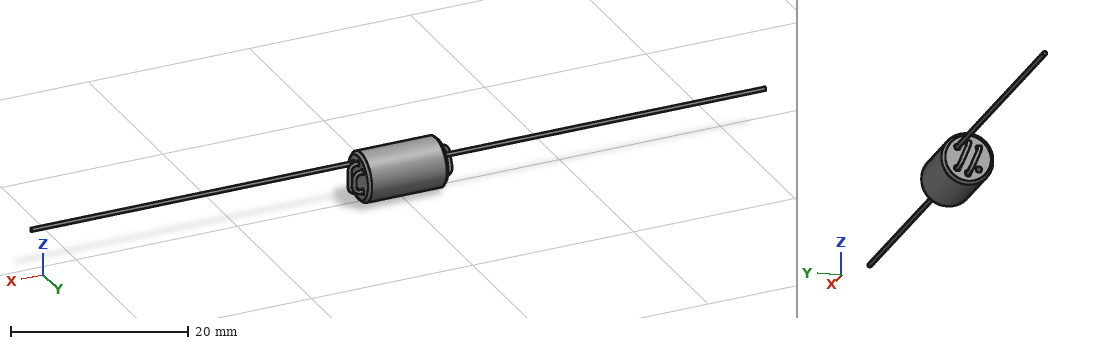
import cadquery as cq
import math

BEAD_DIAMETER = 6.0
BEAD_LENGTH = 10.0
BEAD_CHAMFER = 0.4
HOLE_DIAMETER = 0.7
HOLE_CIRCLE_DIAMETER = 3.5

WIRE_DIAMETER = 0.48
WIRE_SPAN = 90.0
BEND_RADIUS = 0.8
BEND_GAP = 0.225

UPPER_LEFT = 45
TOP = 90
UPPER_RIGHT = 135
LOWER_LEFT = -45
BOTTOM = -90
LOWER_RIGHT = -135
HOLE_ANGLES = [UPPER_LEFT, TOP, UPPER_RIGHT, LOWER_LEFT, BOTTOM, LOWER_RIGHT]

WIRE_ROUTE = [UPPER_LEFT, LOWER_LEFT, TOP, BOTTOM, UPPER_RIGHT]


def hole_axis(angle, x=0.0):
    """Point at the given X on the axis of the hole at the given angle."""
    radians = math.radians(angle)
    radius = HOLE_CIRCLE_DIAMETER / 2
    return cq.Vector(x, radius * math.cos(radians), radius * math.sin(radians))


def make_bead():
    """Chamfered cylinder with six through holes."""
    end_plane = cq.Plane.YZ(origin=(-BEAD_LENGTH / 2, 0, 0))
    bead = cq.Workplane(end_plane).circle(BEAD_DIAMETER / 2).extrude(BEAD_LENGTH)
    bead = bead.faces("<X or >X").chamfer(BEAD_CHAMFER)
    hole_centers = [(hole_axis(angle).y, hole_axis(angle).z) for angle in HOLE_ANGLES]
    holes = (
        cq.Workplane(end_plane)
        .pushPoints(hole_centers)
        .circle(HOLE_DIAMETER / 2)
        .extrude(BEAD_LENGTH)
    )
    return bead.cut(holes).solids()


def turn_back(start, end, side):
    """Edges of a U-turn outside one end face; side is +1 for +X and -1 for -X."""
    outward = cq.Vector(side * BEND_RADIUS, 0, 0)
    across = (end - start).normalized() * BEND_RADIUS
    diagonal = math.sqrt(0.5)
    corner_out = start + outward + across
    corner_in = end + outward - across
    middle_out = start + across + (outward - across) * diagonal
    middle_in = end - across + (outward + across) * diagonal
    return [
        cq.Edge.makeThreePointArc(start, middle_out, corner_out),
        cq.Edge.makeLine(corner_out, corner_in),
        cq.Edge.makeThreePointArc(corner_in, middle_in, end),
    ]


def wire_path():
    """Centre line of the wire from its -X end to its +X end."""
    bend_x = BEAD_LENGTH / 2 + BEND_GAP
    position = hole_axis(WIRE_ROUTE[0], -WIRE_SPAN / 2)
    side = 1
    edges = []
    for angle, next_angle in zip(WIRE_ROUTE, WIRE_ROUTE[1:]):
        bend_start = hole_axis(angle, side * bend_x)
        bend_end = hole_axis(next_angle, side * bend_x)
        edges.append(cq.Edge.makeLine(position, bend_start))
        edges += turn_back(bend_start, bend_end, side)
        position = bend_end
        side = -side
    edges.append(cq.Edge.makeLine(position, hole_axis(WIRE_ROUTE[-1], WIRE_SPAN / 2)))
    return cq.Wire.assembleEdges(edges)


def make_lead_wire():
    """Round wire swept along its path as one solid."""
    start = hole_axis(WIRE_ROUTE[0], -WIRE_SPAN / 2)
    section = cq.Workplane("YZ", origin=start.toTuple()).circle(WIRE_DIAMETER / 2)
    return section.sweep(cq.Workplane(wire_path()))


bead = make_bead()
lead_wire = make_lead_wire()

result = cq.Compound.makeCompound([bead.val(), lead_wire.val()])